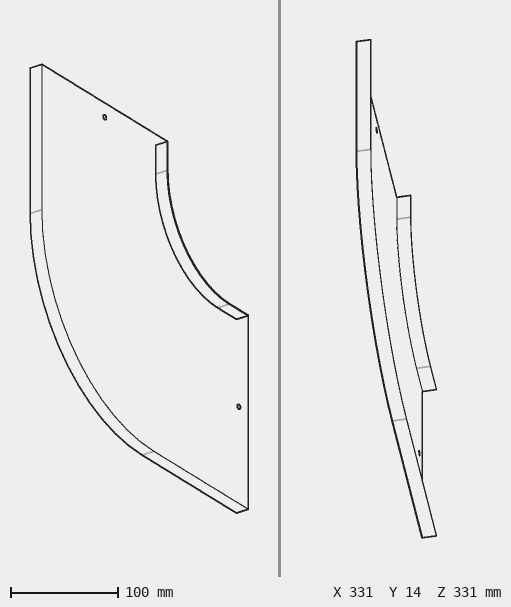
import cadquery as cq
import math

straight_length = 30.0
inner_radius = 99.0
outer_radius = 180.0
cover_width = 202.0
height = 14.0
thickness = 0.8
hole_diameter = 5.0
hole_edge_distance = 15.0

size = cover_width + inner_radius + straight_length
half_depth = height / 2
diagonal = math.sqrt(0.5)


def elbow_solid(inset, depth):
    """Elbow cover outline, inset on its two flanged sides, reaching forward from the back face."""
    low = inset
    high = cover_width - inset
    outer_arc = outer_radius - inset
    inner_arc = inner_radius + inset
    inner_center = cover_width + inner_radius
    outer_mid = outer_radius - outer_arc * diagonal
    inner_mid = inner_center - inner_arc * diagonal
    return (
        cq.Workplane("XZ", origin=(0, half_depth, 0))
        .moveTo(low, size)
        .lineTo(low, outer_radius)
        .threePointArc((outer_mid, outer_mid), (outer_radius, low))
        .lineTo(size, low)
        .lineTo(size, high)
        .lineTo(inner_center, high)
        .threePointArc((inner_mid, inner_mid), (high, inner_center))
        .lineTo(high, size)
        .close()
        .extrude(depth)
    )


def flanged_cover():
    """Flat plate with a flange along the outer bend and another along the inner bend."""
    channel = elbow_solid(thickness, height).translate((0, -thickness, 0))
    return elbow_solid(0, height).cut(channel)


def fixing_holes():
    """One through hole centred near each open end."""
    across = cover_width / 2
    along = size - hole_edge_distance
    return (
        cq.Workplane("XZ", origin=(0, half_depth, 0))
        .pushPoints([(across, along), (along, across)])
        .circle(hole_diameter / 2)
        .extrude(height)
    )


result = flanged_cover().cut(fixing_holes()).translate((-size / 2, 0, -size / 2))